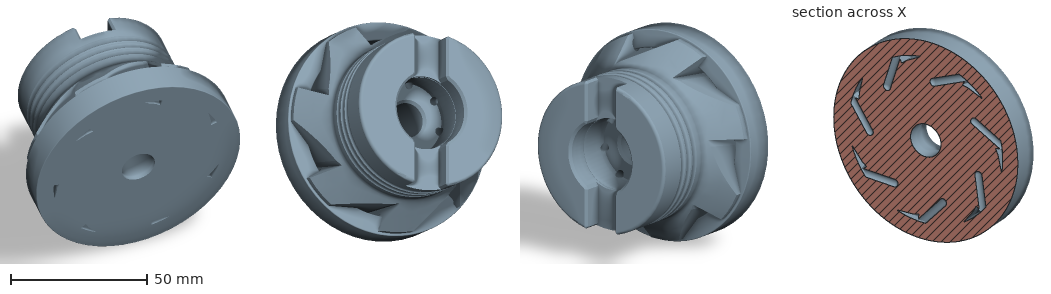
import cadquery as cq
import math

total_length = 50.0

neck_radius = 58.0 / 2
end_fillet = 1.2
edge_chamfer = 1.0

slot_width = 12.4
slot_depth = 7.1

groove_count = 3
groove_first = 10.6
groove_pitch = 3.5
groove_width = 2.7
groove_depth = 0.6

flare_start = 23.4
cone_start = 24.6
cone_start_radius = 29.4
cone_end = 36.4
hub_radius = 39.0

ring_radius = 40.0
ring_inner_radius = 33.2
ring_start = 38.9
ring_lip_start = 38.2
ring_front_fillet = 0.4
ring_back_fillet = 0.2

bore_mouth_radius = 27.3 / 2
bore_middle_radius = 27.0 / 2
bore_bottom_radius = 27.1 / 2
bore_mouth_end = 8.2
bore_taper_start = 18.3
bore_taper_end = 19.3
bore_depth = 20.8
centre_hole_radius = 13.0 / 2
centre_hole_chamfer = 1.0

pocket_count = 7
pocket_start = 25.9
pocket_reach = 48.0
pocket_floor = 30.9
relief_floor = 30.4
wall_offset = 0.8
relief_width = 2.5
wall_lean = math.radians(4.3)
pocket_skew = math.radians(10)

coolant_radius = 3.0 / 2
coolant_entry_radius = 13.3
coolant_entry_angle = 88.0
coolant_knee_radius = 24.4
coolant_knee_angle = 82.0
coolant_exit_radius = 35.0
coolant_exit_angle = 58.5
coolant_exit_x = 38.6
coolant_overrun = 3.2


def around_axis(shape):
    """Copies of a shape, one for each pocket, about the X axis."""
    start = cq.Vector(0, 0, 0)
    end = cq.Vector(1, 0, 0)
    step = 360 / pocket_count
    return [shape.rotate(start, end, i * step) for i in range(pocket_count)]


def make_hub():
    """Neck with grooves, flare, cone and rim, turned in one profile."""
    profile = (
        cq.Workplane("XY")
        .moveTo(0, 0)
        .lineTo(0, neck_radius - end_fillet)
        .tangentArcPoint((end_fillet, neck_radius), relative=False)
    )
    for i in range(groove_count):
        start = groove_first + i * groove_pitch
        bottom = (start + groove_width / 2, neck_radius - groove_depth)
        profile = profile.lineTo(start, neck_radius)
        profile = profile.threePointArc(bottom, (start + groove_width, neck_radius))
    profile = (
        profile.lineTo(flare_start, neck_radius)
        .tangentArcPoint((cone_start, cone_start_radius), relative=False)
        .lineTo(cone_end, hub_radius)
        .lineTo(total_length, hub_radius)
        .lineTo(total_length, 0)
        .close()
    )
    return profile.revolve(360, (0, 0, 0), (1, 0, 0))


def make_bore():
    """Stepped bore with the chamfered centre hole at its floor."""
    return (
        cq.Workplane("XY")
        .moveTo(0, 0)
        .lineTo(0, bore_mouth_radius)
        .lineTo(bore_mouth_end, bore_mouth_radius)
        .lineTo(bore_mouth_end, bore_middle_radius)
        .lineTo(bore_taper_start, bore_middle_radius)
        .lineTo(bore_taper_end, bore_bottom_radius)
        .lineTo(bore_depth, bore_bottom_radius)
        .lineTo(bore_depth, centre_hole_radius + centre_hole_chamfer)
        .lineTo(bore_depth + centre_hole_chamfer, centre_hole_radius)
        .lineTo(total_length, centre_hole_radius)
        .lineTo(total_length, 0)
        .close()
        .revolve(360, (0, 0, 0), (1, 0, 0))
    )


def cut_slot(body):
    """Slot along Z, with the edges of the two jaws chamfered."""
    slot = cq.Workplane("XY").box(2 * slot_depth, slot_width, 2 * ring_radius)
    body = body.cut(slot)
    end_edges = body.faces("<X").edges()
    round_rims = end_edges.edges("%CIRCLE").edges(cq.selectors.RadiusNthSelector(-1)).vals()
    slot_corners = body.edges("|X").edges(
        cq.selectors.BoxSelector(
            (0, -slot_width, -ring_radius),
            (slot_depth, slot_width, ring_radius),
        )
    )
    sharp_edges = [edge for edge in end_edges.vals() if edge not in round_rims]
    return body.newObject(sharp_edges + slot_corners.vals()).chamfer(edge_chamfer)


def make_pocket():
    """Bottom pocket: flat floor, relief strip and leaning wall, swept on a skewed line."""
    relief_edge = wall_offset + relief_width
    wall_top = wall_offset + (pocket_reach - relief_floor) * math.tan(wall_lean)
    section = (
        cq.Workplane("YZ", origin=(pocket_start, 0, 0))
        .polyline(
            [
                (wall_offset, -relief_floor),
                (relief_edge, -pocket_floor),
                (pocket_reach, -pocket_floor),
                (pocket_reach, -pocket_reach),
                (wall_top, -pocket_reach),
            ]
        )
        .close()
        .wire()
        .val()
    )
    length = total_length - pocket_start
    sweep = cq.Vector(length, length * math.tan(pocket_skew), 0)
    return cq.Solid.extrudeLinear(section, [], sweep)


def make_ring():
    """Outer ring, its front face sloping forward to the inner edge."""
    return (
        cq.Workplane("XY")
        .moveTo(ring_lip_start, ring_inner_radius)
        .lineTo(ring_start, ring_radius)
        .lineTo(total_length, ring_radius)
        .lineTo(total_length, ring_inner_radius)
        .close()
        .revolve(360, (0, 0, 0), (1, 0, 0))
        .faces("<X")
        .edges()
        .fillet(ring_front_fillet)
        .faces(">X")
        .edges(cq.selectors.RadiusNthSelector(-1))
        .fillet(ring_back_fillet)
    )


def polar_point(x, radius, angle):
    """Point at an angle that runs from -Y towards +Z."""
    a = math.radians(angle)
    return cq.Vector(x, -radius * math.cos(a), radius * math.sin(a))


def drill(start, end, before, after):
    """Coolant drilling between two points, lengthened at either end."""
    line = end - start
    axis = line.normalized()
    return cq.Solid.makeCylinder(coolant_radius, line.Length + before + after, start - axis * before, axis)


def make_coolant_passage():
    """Two drillings that meet at a rounded knee inside the hub."""
    entry = polar_point(bore_depth, coolant_entry_radius, coolant_entry_angle)
    knee = polar_point(coolant_exit_x, coolant_knee_radius, coolant_knee_angle)
    outlet = polar_point(coolant_exit_x, coolant_exit_radius, coolant_exit_angle)
    feed = drill(entry, knee, coolant_overrun, 0)
    discharge = drill(knee, outlet, 0, coolant_overrun)
    ball = cq.Workplane("XY").sphere(coolant_radius).translate(knee).val()
    return [feed, discharge, ball]


body = cut_slot(make_hub().cut(make_bore()))
for pocket in around_axis(make_pocket()):
    body = body.cut(cq.Workplane(pocket))
for drilling in make_coolant_passage():
    for copy in around_axis(drilling):
        body = body.cut(cq.Workplane(copy))
result = body.union(make_ring())